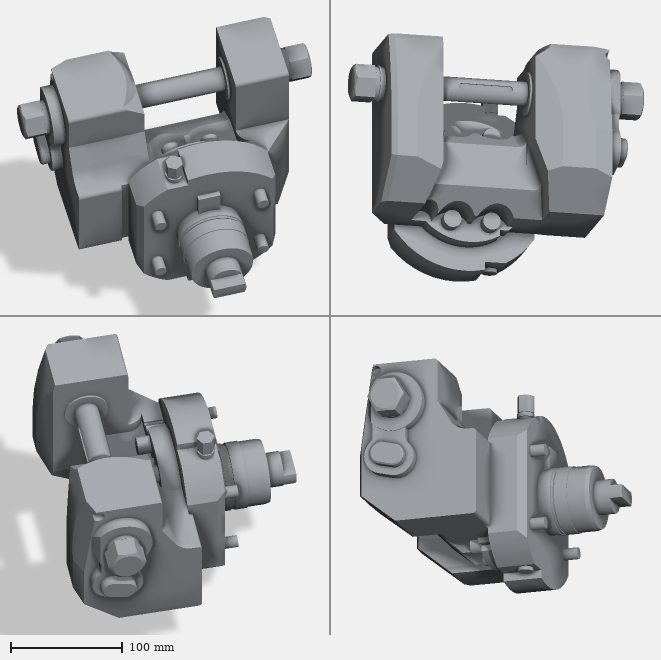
import cadquery as cq
import math


TOP_Z = 109.5
BOTTOM_Z = -40.0
FRONT_X = -146.7
SHAFT_X = -106.5
SHAFT_Z = 69.3

FLANGE_R = 78.7
FLANGE_BACK_X = -35.5
BOSS_R = 56.8
BOSS_BACK_X = -53.3

NEAR_OUTER_Y = -111.5
NEAR_INNER_Y = -41.0
FAR_INNER_Y = 44.0
FAR_OUTER_Y = 93.5

SHOULDER_Z = 40.5
CHEEK_BACK_X = -31.5
NECK_X = -67.7
CURVE_START_Z = 30.0
SLOPE_START_Z = -8.0
SLOPE_END_X = -108.0
SCALLOP_FLOOR_Z = 30.5
CORNER_R = 3.2
PAST = 2.7


def prism_y(points, y_low, y_high):
    """Prism along Y from an XZ polygon."""
    plane = cq.Workplane("XZ", origin=(0, y_high, 0))
    return plane.polyline(points).close().extrude(y_high - y_low)


def prism_x(points, x_low, x_high):
    """Prism along X from a YZ polygon."""
    return cq.Workplane("YZ", origin=(x_low, 0, 0)).polyline(points).close().extrude(x_high - x_low)


def rod_x(y, z, radius, x_low, x_high):
    """Cylinder along X."""
    return cq.Workplane("YZ", origin=(x_low, y, z)).circle(radius).extrude(x_high - x_low)


def rod_y(x, z, radius, y_low, y_high):
    """Cylinder along Y."""
    return cq.Workplane("XZ", origin=(x, y_high, z)).circle(radius).extrude(y_high - y_low)


def box(x_range, y_range, z_range):
    """Box from the low and high limits on each axis."""
    corner = (x_range[0], y_range[0], z_range[0])
    size = [limits[1] - limits[0] for limits in (x_range, y_range, z_range)]
    return cq.Workplane("XY", origin=corner).box(*size, centered=False)


def plan_wedge(low_points, low_z, high_points, high_z):
    """Ruled block between an XY triangle at one height and another above it."""
    base = cq.Workplane("XY", origin=(0, 0, low_z)).polyline(low_points).close()
    upper = base.workplane(offset=high_z - low_z).polyline(high_points).close()
    return upper.loft(ruled=True)


CHEEK_TOP_FRONT_X = -135.0
RAMP_START_Z = 69.3
RAMP_END_X = -55.7
RAMP_END_Z = 49.5
HOLLOW_END_X = -39.0


def cheek_blank(y_low, y_high, back_x, has_ramp):
    """Cheek outline: curved front, stepped back (with or without a ramp), sloping underside."""
    outline = (
        cq.Workplane("XZ", origin=(0, y_high, 0))
        .moveTo(FRONT_X, SLOPE_START_Z)
        .lineTo(FRONT_X, CURVE_START_Z)
        .tangentArcPoint((CHEEK_TOP_FRONT_X, TOP_Z), relative=False)
        .lineTo(NECK_X, TOP_Z)
    )
    if has_ramp:
        outline = (
            outline.lineTo(NECK_X, RAMP_START_Z)
            .lineTo(RAMP_END_X, RAMP_END_Z)
            .tangentArcPoint((HOLLOW_END_X, SHOULDER_Z), relative=False)
        )
    else:
        outline = outline.lineTo(NECK_X, SHOULDER_Z)
    outline = (
        outline.lineTo(back_x, SHOULDER_Z)
        .lineTo(back_x, BOTTOM_Z)
        .lineTo(SLOPE_END_X, BOTTOM_Z)
        .close()
    )
    blank = outline.extrude(y_high - y_low)
    rounded = [(NECK_X, TOP_Z)]
    if has_ramp:
        rounded += [(back_x, SHOULDER_Z), (back_x, BOTTOM_Z)]
    middle_y = (y_low + y_high) / 2
    for x, z in rounded:
        edge = cq.selectors.NearestToPointSelector((x, middle_y, z))
        blank = blank.edges("|Y").edges(edge).fillet(CORNER_R)
    return blank


def inner_bevel(inner_y, inner_x, bevel_end_y):
    """Upright wedge that bevels the front of a cheek toward its inner face."""
    slope = (inner_x - FRONT_X) / (inner_y - bevel_end_y)
    reach = math.copysign(PAST, inner_y - bevel_end_y)
    past_y = inner_y + reach
    points = [
        (FRONT_X - slope * reach, bevel_end_y - reach),
        (inner_x + slope * reach, past_y),
        (FRONT_X - slope * reach, past_y),
    ]
    plan = cq.Workplane("XY", origin=(0, 0, BOTTOM_Z)).polyline(points).close()
    return plan.extrude(TOP_Z - BOTTOM_Z + PAST)


NEAR_STEP_Y = -71.7
NEAR_SPLAY_Z = 19.3
NEAR_SPLAY_Y = -61.0
NEAR_BEVEL_X = -138.0
NEAR_BEVEL_END_Y = -64.5
CONE_START_R = 29.5
CONE_SLOPE = 0.78
CONE_DEPTH = 32.0
RELIEF_START_Z = 95.8
RELIEF_SLOPE = 1.4
OUTER_BEVEL_Y = -94.8
OUTER_BEVEL_X = -140.0
OUTER_BEVEL_TOP_X = -128.8
OIL_HOLE_X = -126.4
OIL_HOLE_Z = 102.8
OIL_HOLE_R = 5.0
OIL_HOLE_DEPTH = 7.5


def near_outer_bevel():
    """Outer front bevel: upright below the curved front, leaning back above it."""
    rise = TOP_Z - CURVE_START_Z
    width = OUTER_BEVEL_Y - NEAR_OUTER_Y
    slope = (OUTER_BEVEL_X - FRONT_X) / width
    lean = OUTER_BEVEL_TOP_X - OUTER_BEVEL_X
    past_front = width

    def triangle(shift):
        inner_x = FRONT_X - slope * past_front + shift
        outer_x = OUTER_BEVEL_X + slope * PAST + shift
        outer_y = NEAR_OUTER_Y - PAST
        return [(inner_x, OUTER_BEVEL_Y + past_front), (outer_x, outer_y), (inner_x, outer_y)]

    lower = plan_wedge(triangle(0), BOTTOM_Z, triangle(0), CURVE_START_Z)
    upper = plan_wedge(triangle(0), CURVE_START_Z, triangle(2 * lean), CURVE_START_Z + 2 * rise)
    return lower.union(upper)


def near_top_relief():
    """Tool for the inner top edge: a slanted chamfer that a cone around the shaft makes shallower."""
    top = TOP_Z + PAST
    wide_r = CONE_START_R + CONE_DEPTH / CONE_SLOPE
    ring_profile = [
        (CONE_START_R, 0),
        (wide_r, -CONE_DEPTH),
        (wide_r + CONE_DEPTH, -CONE_DEPTH),
        (wide_r + CONE_DEPTH, 0),
    ]
    ring = cq.Workplane("XY").polyline(ring_profile).close().revolve(360, (0, 0, 0), (0, 1, 0))
    ring = ring.translate((SHAFT_X, NEAR_INNER_Y, SHAFT_Z))
    slanted_depth = (top - RELIEF_START_Z) * RELIEF_SLOPE
    chamfer = [
        (NEAR_INNER_Y, RELIEF_START_Z),
        (NEAR_INNER_Y - slanted_depth, top),
        (NEAR_INNER_Y, top),
    ]
    return ring.intersect(prism_x(chamfer, FRONT_X, NECK_X))


def near_cheek():
    cheek = cheek_blank(NEAR_OUTER_Y, NEAR_INNER_Y, CHEEK_BACK_X, has_ramp=True)
    cheek = cheek.cut(box((FLANGE_BACK_X, 0), (NEAR_STEP_Y, 0), (BOTTOM_Z - PAST, TOP_Z)))
    splay = [(NEAR_INNER_Y, NEAR_SPLAY_Z), (NEAR_SPLAY_Y, BOTTOM_Z), (NEAR_INNER_Y, BOTTOM_Z)]
    cheek = cheek.cut(prism_x(splay, FRONT_X, FLANGE_BACK_X))
    cheek = cheek.cut(inner_bevel(NEAR_INNER_Y, NEAR_BEVEL_X, NEAR_BEVEL_END_Y))
    cheek = cheek.cut(near_outer_bevel())
    cheek = cheek.cut(near_top_relief())
    hole = rod_y(OIL_HOLE_X, OIL_HOLE_Z, OIL_HOLE_R, NEAR_OUTER_Y, NEAR_OUTER_Y + OIL_HOLE_DEPTH)
    return cheek.cut(hole)


FAR_SPLAY_Z = -8.0
FAR_SPLAY_Y = 53.3
FAR_BEVEL_X = -136.8
FAR_BEVEL_END_Y = 70.5
FAR_CHAMFER_X = 3.0
FAR_CHAMFER_Y = 5.4
FAR_CORNER_LOW_Y = 74.5
FAR_CORNER_HIGH_Y = 63.5
SHOULDER_CORNER_R = 15.0


def shoulder_corner():
    """Tool rounding the inner corner of the far shoulder, down to the bridge floor."""
    heights = (SCALLOP_FLOOR_Z, SHOULDER_Z)
    centre_y = FAR_INNER_Y + SHOULDER_CORNER_R
    block = box((NECK_X, BOSS_BACK_X), (FAR_INNER_Y, centre_y), heights)
    post = cq.Workplane("XY", origin=(NECK_X, centre_y, heights[0])).circle(SHOULDER_CORNER_R)
    return block.cut(post.extrude(heights[1] - heights[0]))


def far_cheek():
    cheek = cheek_blank(FAR_INNER_Y, FAR_OUTER_Y, FLANGE_BACK_X, has_ramp=False)
    front_edges = (
        (FRONT_X, 0.5 * (SLOPE_START_Z + CURVE_START_Z)),
        (0.5 * (FRONT_X + CHEEK_TOP_FRONT_X), 0.5 * (TOP_Z + CURVE_START_Z)),
        (0.5 * (FRONT_X + SLOPE_END_X), 0.5 * (SLOPE_START_Z + BOTTOM_Z)),
    )
    outer_face = cheek.faces(">Y")
    picked = [
        outer_face.edges(cq.selectors.NearestToPointSelector((x, FAR_OUTER_Y, z))).val()
        for x, z in front_edges
    ]
    cheek = cheek.newObject(picked).chamfer(FAR_CHAMFER_X, FAR_CHAMFER_Y)
    splay = [(FAR_INNER_Y, FAR_SPLAY_Z), (FAR_SPLAY_Y, BOTTOM_Z), (FAR_INNER_Y, BOTTOM_Z)]
    cheek = cheek.cut(prism_x(splay, FRONT_X, FLANGE_BACK_X))
    cheek = cheek.cut(inner_bevel(FAR_INNER_Y, FAR_BEVEL_X, FAR_BEVEL_END_Y))
    low = [(NECK_X, FAR_OUTER_Y), (FLANGE_BACK_X, FAR_CORNER_LOW_Y), (FLANGE_BACK_X, FAR_OUTER_Y)]
    high = [(NECK_X, FAR_OUTER_Y), (FLANGE_BACK_X, FAR_CORNER_HIGH_Y), (FLANGE_BACK_X, FAR_OUTER_Y)]
    return cheek.cut(plan_wedge(low, BOTTOM_Z, high, SHOULDER_Z + PAST)).cut(shoulder_corner())


BRIDGE_FRONT_X = -104.5
BRIDGE_EDGE_Z = 19.8
BRIDGE_TOP_FRONT_X = -75.8
BRIDGE_TOP_Z = 38.5
BRIDGE_UNDER_X = -80.0
SCREW_Y = 18.2
SCREW_Z = 39.4
SCREW_HEAD_R = 8.0
SCREW_HEAD_X = -65.3
SCALLOP_R = 19.8
BRIDGE_FILLET_R = 6.5
PASSAGE_Y = 44.5
PASSAGE_R = 9.0


def bridge():
    side = [
        (BRIDGE_FRONT_X, -BRIDGE_EDGE_Z),
        (BRIDGE_FRONT_X, BRIDGE_EDGE_Z),
        (BRIDGE_TOP_FRONT_X, BRIDGE_TOP_Z),
        (FLANGE_BACK_X, BRIDGE_TOP_Z),
        (FLANGE_BACK_X, BOTTOM_Z),
        (BRIDGE_UNDER_X, BOTTOM_Z),
    ]
    body = prism_y(side, NEAR_SPLAY_Y, FAR_SPLAY_Y)
    scallop_z = SCALLOP_FLOOR_Z + SCALLOP_R
    for y in (-SCREW_Y, SCREW_Y):
        for z in (-scallop_z, scallop_z):
            body = body.cut(rod_x(y, z, SCALLOP_R, BRIDGE_FRONT_X, BOSS_BACK_X))
    return body.cut(
        box((BRIDGE_FRONT_X, BOSS_BACK_X), (SCREW_Y, FAR_SPLAY_Y), (SCALLOP_FLOOR_Z, BRIDGE_TOP_Z + PAST))
    )


FLANGE_HALF_WIDTH = 64.8
FLANGE_CHAMFER_X = 8.0
FLANGE_CHAMFER_Y = 4.8
FLANGE_FLAT_Y = -18.7
FLANGE_FLAT_Z = 69.0
BOSS_NOTCH_Y = 28.6
BOSS_NOTCH_Z = 43.6
NOZZLE_X = -11.5
NOZZLE_Y = -28.6
NOZZLE_NECK_R = 6.5
NOZZLE_NECK_TOP_Z = 76.5
NOZZLE_COLLAR_R = 7.8
NOZZLE_COLLAR_Z = 72.3
NOZZLE_COLLAR_HEIGHT = 3.5
NOZZLE_TOP_Z = 92.4
NOZZLE_FLATS = 14.0
PLUG_R = 7.0
PLUG_BOTTOM_Z = -72.5
PIN_Y = 47.7
PIN_Z = 34.5
PIN_R = 5.4
PIN_LENGTH = 13.7
KEY_HALF_WIDTH = 10.2
KEY_TOP_Z = 49.8
KEY_LENGTH = 4.8


def flange():
    disc = rod_x(0, 0, FLANGE_R, FLANGE_BACK_X, 0)
    y = FLANGE_HALF_WIDTH
    plan = [
        (FLANGE_BACK_X, -y),
        (-FLANGE_CHAMFER_X, -y),
        (0, FLANGE_CHAMFER_Y - y),
        (0, y - FLANGE_CHAMFER_Y),
        (-FLANGE_CHAMFER_X, y),
        (FLANGE_BACK_X, y),
    ]
    limit = cq.Workplane("XY", origin=(0, 0, -FLANGE_R)).polyline(plan).close().extrude(2 * FLANGE_R)
    body = disc.intersect(limit)
    for z_range in ((FLANGE_FLAT_Z, FLANGE_R), (-FLANGE_R, -FLANGE_FLAT_Z)):
        body = body.cut(box((FLANGE_BACK_X, 0), (-FLANGE_R, FLANGE_FLAT_Y), z_range))
    return body


def rear_boss():
    """Boss behind the flange, with two opposite rim notches and four screw heads."""
    body = rod_x(0, 0, BOSS_R, BOSS_BACK_X, FLANGE_BACK_X)
    notch = box((BOSS_BACK_X, FLANGE_BACK_X), (BOSS_NOTCH_Y, BOSS_R), (BOSS_NOTCH_Z, BOSS_R))
    body = body.cut(notch).cut(notch.rotate((0, 0, 0), (1, 0, 0), 180))
    for y in (-SCREW_Y, SCREW_Y):
        for z in (-SCREW_Z, SCREW_Z):
            body = body.union(rod_x(y, z, SCREW_HEAD_R, SCREW_HEAD_X, BOSS_BACK_X))
    return body


def flange_fittings():
    """Hex nozzle and plug on the flats, pins and key on the front face."""
    hex_corners = NOZZLE_FLATS / math.cos(math.pi / 6)
    base = cq.Workplane("XY", origin=(NOZZLE_X, NOZZLE_Y, FLANGE_FLAT_Z))
    neck = base.circle(NOZZLE_NECK_R).extrude(NOZZLE_NECK_TOP_Z - FLANGE_FLAT_Z)
    head = (
        base.workplane(offset=NOZZLE_NECK_TOP_Z - FLANGE_FLAT_Z)
        .polygon(6, hex_corners)
        .extrude(NOZZLE_TOP_Z - NOZZLE_NECK_TOP_Z)
    )
    collar = base.workplane(offset=NOZZLE_COLLAR_Z - FLANGE_FLAT_Z)
    collar = collar.circle(NOZZLE_COLLAR_R).extrude(NOZZLE_COLLAR_HEIGHT)
    plug = cq.Workplane("XY", origin=(NOZZLE_X, NOZZLE_Y, PLUG_BOTTOM_Z))
    plug = plug.circle(PLUG_R).extrude(-FLANGE_FLAT_Z - PLUG_BOTTOM_Z)
    fittings = neck.union(collar).union(head).union(plug)
    for y in (-PIN_Y, PIN_Y):
        for z in (-PIN_Z, PIN_Z):
            fittings = fittings.union(rod_x(y, z, PIN_R, 0, PIN_LENGTH))
    key = box((0, KEY_LENGTH), (-KEY_HALF_WIDTH, KEY_HALF_WIDTH), (0, KEY_TOP_Z))
    return fittings.union(key)


NOSE_R = 29.7
BAND_R = 30.5
GROOVE_R = 28.6
REAR_BAND_X = (7.8, 12.0)
GROOVE_X = (14.2, 15.8)
FRONT_BAND_END_X = 27.5
NOSE_CHAMFER_X = 44.5
NOSE_END_X = 48.5
STUB_R = 15.8
STUB_END_X = 63.2
TANG_END_X = 74.7
TANG_HALF_HEIGHT = 6.2
TANG_CHAMFER = 0.8


def spindle_nose():
    """Turned nose with seal grooves, ending in a flat drive tang."""
    half_profile = [
        (0, 0),
        (0, NOSE_R),
        (REAR_BAND_X[0], NOSE_R),
        (REAR_BAND_X[0], BAND_R),
        (REAR_BAND_X[1], BAND_R),
        (REAR_BAND_X[1], NOSE_R),
        (GROOVE_X[0], NOSE_R),
        (GROOVE_X[0], GROOVE_R),
        (GROOVE_X[1], GROOVE_R),
        (GROOVE_X[1], BAND_R),
        (FRONT_BAND_END_X, BAND_R),
        (FRONT_BAND_END_X, NOSE_R),
        (NOSE_CHAMFER_X, NOSE_R),
        (NOSE_END_X, GROOVE_R),
        (NOSE_END_X, STUB_R),
        (TANG_END_X, STUB_R),
        (TANG_END_X, 0),
    ]
    nose = cq.Workplane("XY").polyline(half_profile).close().revolve(360, (0, 0, 0), (1, 0, 0))
    nose = nose.faces(">X").edges().chamfer(TANG_CHAMFER)
    for z_range in ((TANG_HALF_HEIGHT, NOSE_R), (-NOSE_R, -TANG_HALF_HEIGHT)):
        nose = nose.cut(box((STUB_END_X, TANG_END_X), (-NOSE_R, NOSE_R), z_range))
    return nose


SHAFT_R = 11.0
SHAFT_KEYWAY_LENGTH = 50.0
SHAFT_KEYWAY_WIDTH = 6.0
SHAFT_KEYWAY_DEPTH = 2.1
WASHER_R = 19.8
WASHER_THICKNESS = 2.0
SHAFT_NECK_R = 15.5
HEX_FLATS = 30.3
HEX_LENGTH = 19.8
HEX_END_R = 13.5
HEX_CHAMFER_DEPTH = 2.5
FAR_END_Y = 121.8
NEAR_END_Y = -146.0
RING_R = 16.9
RING_THICKNESS = 1.5
RING_Y = 97.0

HUB_FACE_Y = -122.3
LOBE_FACE_Y = -121.3
HUB_R = 27.3
HUB_BEVEL_FACE_X = -127.2
HUB_BEVEL_BASE_X = -133.3
LOBE_START = (-116.7, 20.3)
LOBE_END = (-105.0, 17.5)
LOBE_R = 17.5
LOBE_TIP_R = 10.2
LOBE_TIP_Y = -129.5
LOBE_TIP_CHAMFER = 1.3
LOBE_NECK_X = (-126.0, -95.3)
LOBE_NECK_TOP_Z = 50.9
LOBE_JOINT_R = 6.7


def hex_end(tip_y, direction):
    """Hexagon head ending at tip_y, with its corners turned down at the tip."""
    corner_r = HEX_FLATS / math.cos(math.pi / 6) / 2
    turned_r = corner_r + 0.3
    turned = [
        (0, 0),
        (HEX_END_R, 0),
        (turned_r, HEX_CHAMFER_DEPTH),
        (turned_r, HEX_LENGTH),
        (0, HEX_LENGTH),
    ]
    envelope = cq.Workplane("XY").polyline(turned).close().revolve(360, (0, 0, 0), (0, 1, 0))
    head = cq.Workplane("XZ").polygon(6, 2 * corner_r).extrude(-HEX_LENGTH).intersect(envelope)
    if direction > 0:
        head = head.mirror("XZ")
    return head.translate((SHAFT_X, tip_y, SHAFT_Z))


def clamp_shaft():
    shaft = rod_y(SHAFT_X, SHAFT_Z, SHAFT_R, NEAR_INNER_Y, FAR_INNER_Y)
    keyway = (
        cq.Workplane("YZ", origin=(SHAFT_X - SHAFT_R, 0, SHAFT_Z))
        .slot2D(SHAFT_KEYWAY_LENGTH, SHAFT_KEYWAY_WIDTH)
        .extrude(SHAFT_KEYWAY_DEPTH)
    )
    shaft = shaft.cut(keyway)
    near_washer_y = NEAR_INNER_Y + WASHER_THICKNESS
    far_washer_y = FAR_INNER_Y - WASHER_THICKNESS
    collars = (
        (WASHER_R, NEAR_INNER_Y, near_washer_y),
        (WASHER_R, far_washer_y, FAR_INNER_Y),
        (SHAFT_NECK_R, FAR_OUTER_Y, FAR_END_Y - HEX_LENGTH),
        (RING_R, RING_Y, RING_Y + RING_THICKNESS),
        (SHAFT_NECK_R, NEAR_END_Y + HEX_LENGTH, HUB_FACE_Y),
    )
    for radius, y_low, y_high in collars:
        shaft = shaft.union(rod_y(SHAFT_X, SHAFT_Z, radius, y_low, y_high))
    return shaft.union(hex_end(FAR_END_Y, 1)).union(hex_end(NEAR_END_Y, -1))


def obround(radius, y_low, y_high):
    """Tilted obround block between the two lobe centres."""
    run = LOBE_END[0] - LOBE_START[0]
    drop = LOBE_END[1] - LOBE_START[1]
    length = math.hypot(run, drop)
    middle = ((LOBE_START[0] + LOBE_END[0]) / 2, y_high, (LOBE_START[1] + LOBE_END[1]) / 2)
    angle = math.degrees(math.atan2(drop, run))
    slot = cq.Workplane("XZ", origin=middle).slot2D(length + 2 * radius, 2 * radius, angle)
    return slot.extrude(y_high - y_low)


def hub_plate():
    """Round hub around the shaft, necked down to an obround lobe with a raised tip."""
    hub = rod_y(SHAFT_X, SHAFT_Z, HUB_R, HUB_FACE_Y, NEAR_OUTER_Y)
    slope = (HUB_BEVEL_FACE_X - HUB_BEVEL_BASE_X) / (NEAR_OUTER_Y - HUB_FACE_Y)
    bevel = [
        (HUB_BEVEL_BASE_X, NEAR_OUTER_Y),
        (HUB_BEVEL_FACE_X + slope * PAST, HUB_FACE_Y - PAST),
        (SHAFT_X - HUB_R - PAST, HUB_FACE_Y - PAST),
        (SHAFT_X - HUB_R - PAST, NEAR_OUTER_Y),
    ]
    bevel_plane = cq.Workplane("XY", origin=(0, 0, SHAFT_Z - HUB_R))
    cutter = bevel_plane.polyline(bevel).close().extrude(2 * HUB_R)
    middle_y = (LOBE_FACE_Y + NEAR_OUTER_Y) / 2
    neck = box(LOBE_NECK_X, (LOBE_FACE_Y, NEAR_OUTER_Y), (LOBE_START[1], LOBE_NECK_TOP_Z))
    lobe = obround(LOBE_R, LOBE_FACE_Y, NEAR_OUTER_Y)
    tip = obround(LOBE_TIP_R, LOBE_TIP_Y, LOBE_FACE_Y).faces("<Y").edges().chamfer(LOBE_TIP_CHAMFER)
    plate = neck.union(lobe)
    for neck_x, centre in zip(LOBE_NECK_X, (LOBE_START, LOBE_END)):
        joint_z = centre[1] + math.sqrt(LOBE_R**2 - (neck_x - centre[0]) ** 2)
        joint = cq.selectors.NearestToPointSelector((neck_x, middle_y, joint_z))
        plate = plate.edges("|Y").edges(joint).fillet(LOBE_JOINT_R)
    return hub.cut(cutter).union(plate).union(tip)


holder = near_cheek().union(far_cheek()).union(bridge())
near_splay_slope = (NEAR_INNER_Y - NEAR_SPLAY_Y) / (NEAR_SPLAY_Z - BOTTOM_Z)
bridge_slope_middle_x = (BRIDGE_FRONT_X + BRIDGE_TOP_FRONT_X) / 2
bridge_slope_middle_z = (BRIDGE_EDGE_Z + BRIDGE_TOP_Z) / 2
inside_corners = (
    (BRIDGE_FRONT_X, NEAR_INNER_Y - near_splay_slope * NEAR_SPLAY_Z, 0),
    (BRIDGE_FRONT_X, FAR_INNER_Y, (FAR_SPLAY_Z + BRIDGE_EDGE_Z) / 2),
    (bridge_slope_middle_x, NEAR_INNER_Y, bridge_slope_middle_z),
)
for corner in inside_corners:
    holder = holder.edges(cq.selectors.NearestToPointSelector(corner)).fillet(BRIDGE_FILLET_R)
passage = rod_x(PASSAGE_Y, BOTTOM_Z, PASSAGE_R, FRONT_X, BOSS_BACK_X)
holder = holder.cut(passage)
for feature in (flange(), rear_boss(), flange_fittings(), spindle_nose(), clamp_shaft(), hub_plate()):
    holder = holder.union(feature)

result = holder